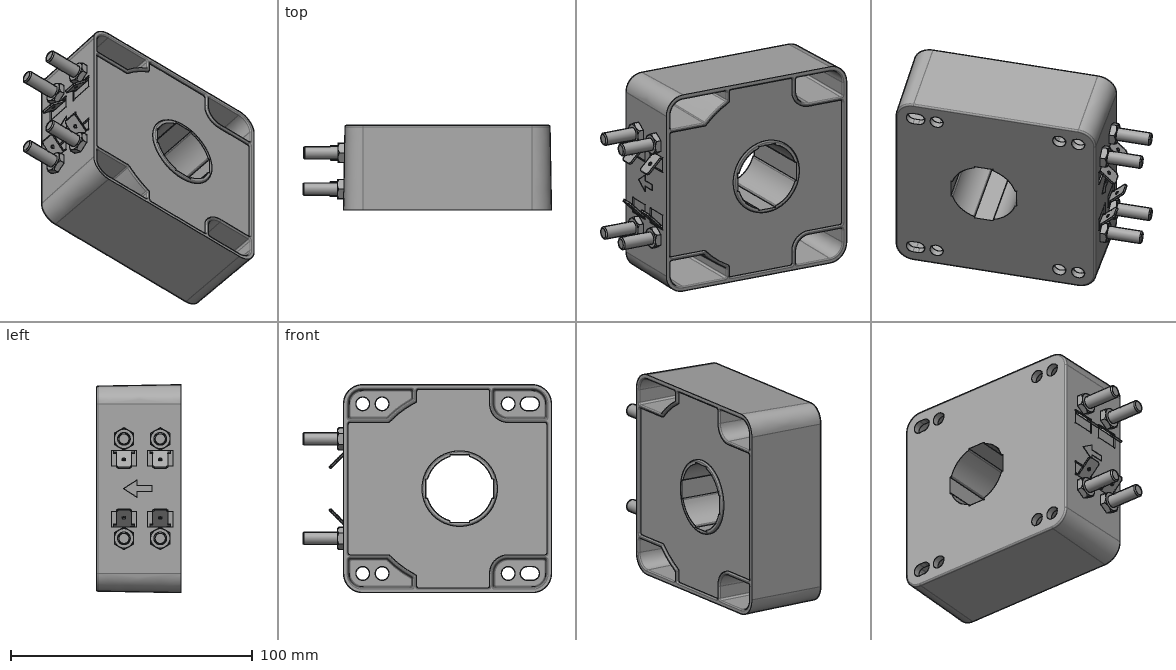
import cadquery as cq
import math


overall_length = 102.8
side = 86.0
depth = 35.0
corner_radius = 8.0
draft_angle = 1.0
back_edge_radius = 0.7
wall = 2.0
rim_edge_radius = 0.5
panel_recess = 1.0

pocket_floor = 3.0
rib = 1.4
pocket_corner_radius = 0.8
pocket_floor_radius = 0.2
pocket_bottom = 28.8
left_pocket_end = -14.2

hole_diameter = 5.5
hole_z = 35.0
left_hole_xs = (-35.0, -27.0)
right_hole_x = 25.1
slot_x = 34.0
slot_length = 7.8

bore_x = 5.0
bore_diameter = 27.7
bore_rim_diameter = 31.2
bar_slot_span = 27.9
bar_slot_width = 7.9
bar_slot_edge_radius = 0.5
coil_clearance_radius = 41.4

stud_diameter = 5.2
stud_chamfer = 0.5
stud_z = 20.5
stud_ys = (8.6, 23.6)
nut_across_flats = 8.0
nut_height = 2.7
nut_chamfer = 0.6

blade_thickness = 0.8
blade_width = 6.3
blade_root_width = 8.6
blade_reach = 5.9
blade_shoulder_sink = 0.3
blade_corner = 0.8
blade_wall_z = 14.5
blade_hole_diameter = 1.4
blade_hole_reach = 2.7
window_width = 10.5
window_top = 15.8
window_bottom = 9.4
window_depth = 0.7

arrow_tip_y = 23.8
arrow_neck_y = 18.2
arrow_tail_y = 12.0
arrow_head_half = 3.6
arrow_shaft_half = 1.2
arrow_depth = 0.1

half = side / 2
overlap = 1.0
draft_slope = math.tan(math.radians(draft_angle))

front_plane = cq.Plane(origin=(0, 0, 0), xDir=(1, 0, 0), normal=(0, 1, 0))


def wall_x(y):
    """X of the drafted stud wall at a given Y."""
    return -half + y * draft_slope


def mirror_z(solid):
    """A solid together with its mirror image below Z = 0."""
    return solid.union(solid.mirror("XY"))


def rounded_block(size, radius, length):
    """Square block with rounded, drafted sides, narrowing towards the back."""
    outline = cq.Sketch().rect(size, size).vertices().fillet(radius)
    return cq.Workplane(front_plane).placeSketch(outline).extrude(length, taper=draft_angle)


def left_pocket(grow, length, taper):
    """Upper left pocket block, its inner sides moved out by grow."""
    bottom = pocket_bottom - grow
    end = left_pocket_end + grow
    radius = coil_clearance_radius - grow
    arc_start_x = bore_x - math.sqrt(radius**2 - bottom**2)
    arc_end_z = math.sqrt(radius**2 - (end - bore_x)**2)
    middle_angle = (math.atan2(bottom, arc_start_x - bore_x) + math.atan2(arc_end_z, end - bore_x)) / 2
    arc_middle = (bore_x + radius * math.cos(middle_angle), -radius * math.sin(middle_angle))
    return (
        cq.Workplane(front_plane)
        .moveTo(-side, -bottom)
        .lineTo(arc_start_x, -bottom)
        .threePointArc(arc_middle, (end, -arc_end_z))
        .lineTo(end, -side)
        .lineTo(-side, -side)
        .close()
        .extrude(length, taper=taper)
    )


def right_pocket(grow, length, taper):
    """Upper right pocket block, rounded around its mounting hole."""
    bottom = pocket_bottom - grow
    radius = hole_z - bottom
    end = right_hole_x - radius
    return (
        cq.Workplane(front_plane)
        .moveTo(side, -bottom)
        .lineTo(end + radius, -bottom)
        .radiusArc((end, -bottom - radius), -radius)
        .lineTo(end, -side)
        .lineTo(side, -side)
        .close()
        .extrude(length, taper=taper)
    )


def corner_blocks(grow, length, taper):
    """All four corner blocks, reaching past the outside of the housing."""
    return mirror_z(left_pocket(grow, length, taper).union(right_pocket(grow, length, taper)))


def panel_cut():
    """Shallow recess between the rim, the pocket ribs and the raised bore ring."""
    inside = rounded_block(side - 2 * wall, corner_radius - wall, panel_recess)
    ring = cq.Workplane(front_plane).center(bore_x, 0).circle(bore_rim_diameter / 2).extrude(depth)
    panel = inside.cut(corner_blocks(rib, depth, 0))
    return panel.edges("not(<Y or >Y)").fillet(pocket_corner_radius).cut(ring)


def pocket_cut():
    length = depth - pocket_floor
    inside = rounded_block(side - 2 * wall, corner_radius - wall, length)
    pockets = inside.intersect(corner_blocks(0, length, draft_angle))
    pockets = pockets.edges("not(<Y or >Y)").fillet(pocket_corner_radius)
    return pockets.faces(">Y").edges().fillet(pocket_floor_radius)


def mounting_hole_cut():
    holes = (
        cq.Workplane(front_plane)
        .pushPoints([(x, -hole_z) for x in (*left_hole_xs, right_hole_x)])
        .circle(hole_diameter / 2)
        .extrude(depth)
    )
    slot = cq.Workplane(front_plane).center(slot_x, -hole_z).slot2D(slot_length, hole_diameter).extrude(depth)
    return mirror_z(holes.union(slot))


def bore_cut():
    """Round bore with four flat-bottomed slots for bus bars."""
    centre = cq.Workplane(front_plane).center(bore_x, 0)
    bore = centre.circle(bore_diameter / 2).extrude(depth)
    upright = centre.rect(bar_slot_width, bar_slot_span).extrude(depth)
    level = centre.rect(bar_slot_span, bar_slot_width).extrude(depth)
    cutter = bore.union(upright).union(level)
    slot_edges = [
        edge for edge in cutter.edges("|Y").vals()
        if math.hypot(edge.Center().x - bore_x, edge.Center().z) < bar_slot_span / 2
    ]
    return cutter.newObject(slot_edges).fillet(bar_slot_edge_radius)


def stud_with_nut(y):
    x = wall_x(y)
    reach = overall_length - half + wall_x(stud_ys[0])
    plane = cq.Workplane("YZ", origin=(x + overlap, y, stud_z))
    stud = plane.circle(stud_diameter / 2).extrude(-reach - overlap).faces("<X").chamfer(stud_chamfer)
    nut_diameter = nut_across_flats / math.cos(math.pi / 6)
    nut = plane.transformed(rotate=(0, 0, 90)).polygon(6, nut_diameter).extrude(-nut_height - overlap)
    nut_round = plane.circle(nut_diameter / 2).extrude(-nut_height - overlap).faces("<X").chamfer(nut_chamfer)
    return stud.union(nut.intersect(nut_round))


def blade_terminal(y):
    """Flat blade leaning out of its wall window at 45 degrees, widened at the root."""
    x = wall_x(y)
    diagonal = math.sqrt(2)
    tip = blade_reach * diagonal
    shoulder = -blade_shoulder_sink * diagonal
    root = -(window_depth + blade_thickness) * diagonal
    blade_plane = cq.Plane(origin=(x, y, blade_wall_z), xDir=(0, 1, 0), normal=(-1, 0, 1))
    blade = (
        cq.Workplane(blade_plane)
        .moveTo(-blade_root_width / 2, root)
        .lineTo(-blade_root_width / 2, shoulder)
        .lineTo(-blade_width / 2, shoulder)
        .lineTo(-blade_width / 2, tip - blade_corner)
        .lineTo(-blade_width / 2 + blade_corner, tip)
        .lineTo(blade_width / 2 - blade_corner, tip)
        .lineTo(blade_width / 2, tip - blade_corner)
        .lineTo(blade_width / 2, shoulder)
        .lineTo(blade_root_width / 2, shoulder)
        .lineTo(blade_root_width / 2, root)
        .close()
        .extrude(blade_thickness / 2, both=True)
    )
    hole = (
        cq.Workplane(blade_plane)
        .center(0, blade_hole_reach * diagonal)
        .circle(blade_hole_diameter / 2)
        .extrude(blade_thickness, both=True)
    )
    return blade.cut(hole)


def wall_sink(block, body, sink_depth):
    """Part of a block that sinks into the stud wall by an even depth."""
    return block.cut(body.translate((sink_depth, 0, 0)))


def window_block(y):
    return cq.Workplane("XY").box(
        2 * overlap + window_depth, window_width, window_top - window_bottom, centered=(True, True, False)
    ).translate((-half, y, window_bottom))


def arrow_block():
    return (
        cq.Workplane("YZ", origin=(-half - overlap, 0, 0))
        .moveTo(arrow_tip_y, 0)
        .lineTo(arrow_neck_y, arrow_head_half)
        .lineTo(arrow_neck_y, arrow_shaft_half)
        .lineTo(arrow_tail_y, arrow_shaft_half)
        .lineTo(arrow_tail_y, -arrow_shaft_half)
        .lineTo(arrow_neck_y, -arrow_shaft_half)
        .lineTo(arrow_neck_y, -arrow_head_half)
        .close()
        .extrude(2 * overlap)
    )


block = rounded_block(side, corner_radius, depth).faces(">Y").edges().fillet(back_edge_radius)
housing = block.cut(panel_cut()).cut(pocket_cut())

ring_face, rim_face = sorted(housing.faces("<Y").vals(), key=lambda face: face.BoundingBox().xlen)
rounded_wires = [*rim_face.innerWires(), ring_face.outerWire()]
rounded_edges = [edge for wire in rounded_wires for edge in wire.Edges()]
housing = housing.newObject(rounded_edges).fillet(rim_edge_radius)

housing = housing.cut(mounting_hole_cut()).cut(bore_cut())

for stud_y in stud_ys:
    housing = housing.cut(mirror_z(wall_sink(window_block(stud_y), block, window_depth)))
housing = housing.cut(wall_sink(arrow_block(), block, arrow_depth))

for stud_y in stud_ys:
    housing = housing.union(mirror_z(stud_with_nut(stud_y).union(blade_terminal(stud_y))))

result = housing